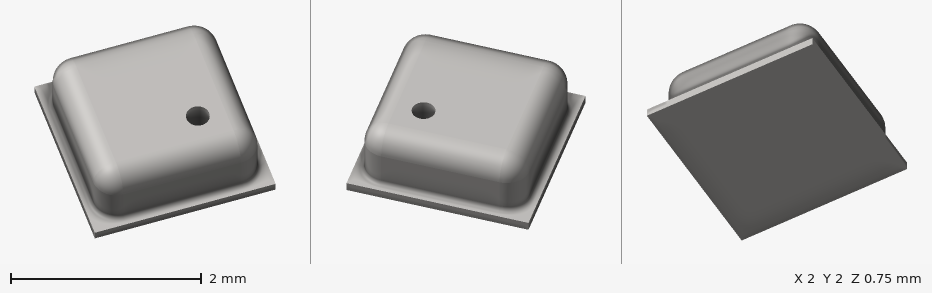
import cadquery as cq

base_side = 2.0
base_thickness = 0.1

total_height = 0.75
base_margin = 0.1
lid_side = base_side - 2 * base_margin
lid_height = total_height - base_thickness
edge_radius = 0.25
foot_radius = 0.05

vent_diameter = 0.25
vent_offset = 0.355
vent_depth = lid_height


def make_base():
    """Flat square plate resting on Z = 0."""
    return cq.Workplane("XY").box(base_side, base_side, base_thickness, centered=(True, True, False))


def make_lid():
    """Square lid with vertical and top edges rounded to the same radius."""
    lid = (
        cq.Workplane("XY")
        .workplane(offset=base_thickness)
        .box(lid_side, lid_side, lid_height, centered=(True, True, False))
    )
    return lid.edges("|Z or >Z").fillet(edge_radius)


def make_vent():
    """Round vent running down from the top of the lid."""
    return (
        cq.Workplane("XY")
        .workplane(offset=total_height - vent_depth)
        .center(vent_offset, vent_offset)
        .circle(vent_diameter / 2)
        .extrude(vent_depth)
    )


def round_foot(body):
    """Fillet the inside corner between the lid walls and the base plate."""
    reach = lid_side / 2 + foot_radius
    foot_edges = cq.selectors.BoxSelector(
        (-reach, -reach, base_thickness - foot_radius),
        (reach, reach, base_thickness + foot_radius),
    )
    return body.edges(foot_edges).fillet(foot_radius)


body = round_foot(make_base().union(make_lid()))
result = body.cut(make_vent())